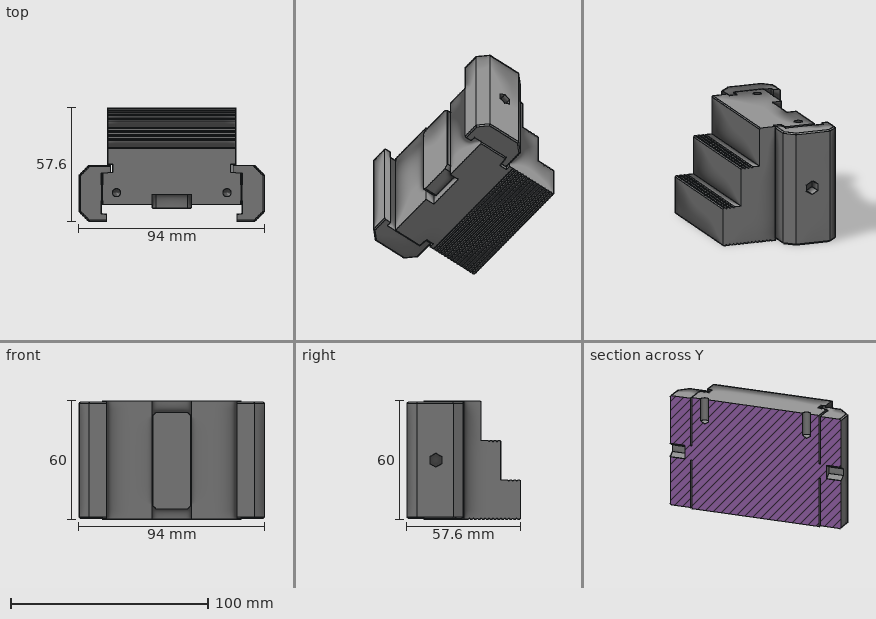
import cadquery as cq
import math

HEIGHT = 60.0
BODY_DEPTH = 49.0
BACK_WIDTH = 65.0
FRONT_WIDTH = 70.0
STEP_RUN = 10.0
STEP_RISE = 20.0

GROOVE_DEPTH = 0.57
GROOVE_PITCH = 2.0
STEP_GROOVES = 3
BASE_GROOVES = 13

CHANNEL_FLOOR_X = 30.0
CHANNEL_BACK_Y = 20.36
CHANNEL_FRONT_Y = 16.3
HOOK_SLOPE = math.tan(math.radians(5.0))

SLOT_WIDTH = 20.0
SLOT_DEPTH = 5.0
KEY_PROJECTION = 2.0
KEY_HEIGHT = 48.9
KEY_BASE_Z = 5.3
KEY_CORNER = 2.0
KEY_EDGE_CHAMFER = 0.5

JAW_SPAN = 94.0
JAW_BACK_Y = 19.86
JAW_FRONT_Y = -8.64
JAW_HEIGHT = 59.0
JAW_INNER_X = 35.65
JAW_CORNER = 5.0
JAW_END_CHAMFER = 0.7
REAR_HOOK_TIP_X = 31.0
FRONT_HOOK_TIP_X = 33.0
FRONT_HOOK_Y = -4.65

SCREW_Y = 6.0
SCREW_DIAMETER = 8.0
SCREW_EMBED = 1.0
HEX_FLATS = 6.1
HEX_DEPTH = 8.0
TAP_DIAMETER = 4.13
TAP_DEPTH = 12.0
TAP_X = 28.0
DRILL_POINT_ANGLE = 118.0


def mirrored_pair(part):
    """The part together with its mirror image across the YZ plane."""
    return part.union(part.mirror("YZ"))


def v_groove(y, z):
    """Square bar on edge along X; half of it cuts a V groove in a face at (y, z)."""
    diamond = [
        (y - GROOVE_DEPTH, z),
        (y, z + GROOVE_DEPTH),
        (y + GROOVE_DEPTH, z),
        (y, z - GROOVE_DEPTH),
    ]
    return cq.Workplane("YZ").polyline(diamond).close().extrude(BACK_WIDTH / 2, both=True)


def serrate(body, back_y, z, count):
    """Chamfer the back edge of a level face and cut a row of grooves in front of it."""
    for i in range(count + 1):
        body = body.cut(v_groove(back_y - i * GROOVE_PITCH, z))
    return body


def make_block():
    """Staircase toward +Y with a wider front and hook channels on both sides."""
    stairs = [
        (0, 0),
        (BODY_DEPTH, 0),
        (BODY_DEPTH, STEP_RISE),
        (BODY_DEPTH - STEP_RUN, STEP_RISE),
        (BODY_DEPTH - STEP_RUN, 2 * STEP_RISE),
        (BODY_DEPTH - 2 * STEP_RUN, 2 * STEP_RISE),
        (BODY_DEPTH - 2 * STEP_RUN, HEIGHT),
        (0, HEIGHT),
    ]
    block = cq.Workplane("YZ").polyline(stairs).close().extrude(FRONT_WIDTH / 2, both=True)
    shoulder_y = CHANNEL_FRONT_Y - (FRONT_WIDTH / 2 - CHANNEL_FLOOR_X) * HOOK_SLOPE
    side_relief = [
        (CHANNEL_FLOOR_X, CHANNEL_FRONT_Y),
        (FRONT_WIDTH / 2, shoulder_y),
        (FRONT_WIDTH / 2, BODY_DEPTH),
        (BACK_WIDTH / 2, BODY_DEPTH),
        (BACK_WIDTH / 2, CHANNEL_BACK_Y),
        (CHANNEL_FLOOR_X, CHANNEL_BACK_Y),
    ]
    relief = cq.Workplane("XY").polyline(side_relief).close().extrude(HEIGHT)
    return block.cut(mirrored_pair(relief))


def make_serrated_block():
    block = make_block()
    block = serrate(block, BODY_DEPTH, 0, BASE_GROOVES)
    block = serrate(block, BODY_DEPTH, STEP_RISE, STEP_GROOVES)
    block = serrate(block, BODY_DEPTH - STEP_RUN, 2 * STEP_RISE, STEP_GROOVES)
    return serrate(block, BODY_DEPTH - 2 * STEP_RUN, HEIGHT, 0)


def make_key_slot():
    return cq.Workplane("XY").box(SLOT_WIDTH, 2 * SLOT_DEPTH, HEIGHT, centered=(True, True, False))


def make_key():
    """Key seated in the slot, with clipped corners and chamfered long front edges."""
    depth = SLOT_DEPTH + KEY_PROJECTION
    key = cq.Workplane("XY").box(SLOT_WIDTH, depth, KEY_HEIGHT)
    key = key.edges("|Y").chamfer(KEY_CORNER)
    key = key.faces("<Y").edges("|Z").chamfer(KEY_EDGE_CHAMFER)
    return key.translate((0, SLOT_DEPTH - depth / 2, KEY_BASE_Z + KEY_HEIGHT / 2))


def make_tapped_hole():
    """Blind drilled hole in the top face with a conical bottom."""
    radius = TAP_DIAMETER / 2
    point_length = radius / math.tan(math.radians(DRILL_POINT_ANGLE / 2))
    profile = [
        (0, 0),
        (radius, 0),
        (radius, -TAP_DEPTH),
        (0, -TAP_DEPTH - point_length),
    ]
    drill = cq.Workplane("XZ").polyline(profile).close().revolve(360, (0, 0), (0, 1))
    return drill.translate((TAP_X, SCREW_Y, HEIGHT))


def make_jaw_blank(top_edges):
    """Jaw outline closed toward the middle of the part, with chamfered end edges.

    top_edges selects which edges of the top face are chamfered.
    """
    outer_x = JAW_SPAN / 2
    outline = [
        (0, JAW_BACK_Y),
        (outer_x - JAW_CORNER, JAW_BACK_Y),
        (outer_x, JAW_BACK_Y - JAW_CORNER),
        (outer_x, JAW_FRONT_Y + JAW_CORNER),
        (outer_x - JAW_CORNER, JAW_FRONT_Y),
        (0, JAW_FRONT_Y),
    ]
    blank = cq.Workplane("XY").polyline(outline).close().extrude(JAW_HEIGHT)
    blank = blank.faces("<Z").edges().chamfer(JAW_END_CHAMFER)
    blank = blank.faces(">Z").edges(top_edges).chamfer(JAW_END_CHAMFER)
    return blank.translate((0, 0, (HEIGHT - JAW_HEIGHT) / 2))


def make_jaw_opening():
    """Space between the two hooks; the rear hook bears on the sloped body shoulder."""
    rear_tip_y = CHANNEL_FRONT_Y - (REAR_HOOK_TIP_X - CHANNEL_FLOOR_X) * HOOK_SLOPE
    rear_root_y = CHANNEL_FRONT_Y - (JAW_INNER_X - CHANNEL_FLOOR_X) * HOOK_SLOPE
    front_tip_y = FRONT_HOOK_Y - (JAW_INNER_X - FRONT_HOOK_TIP_X) * HOOK_SLOPE
    opening = [
        (0, JAW_BACK_Y),
        (REAR_HOOK_TIP_X, JAW_BACK_Y),
        (REAR_HOOK_TIP_X, rear_tip_y),
        (JAW_INNER_X, rear_root_y),
        (JAW_INNER_X, FRONT_HOOK_Y),
        (FRONT_HOOK_TIP_X, front_tip_y),
        (FRONT_HOOK_TIP_X, JAW_FRONT_Y),
        (0, JAW_FRONT_Y),
    ]
    return cq.Workplane("XY").polyline(opening).close().extrude(HEIGHT)


def make_hex_socket():
    """Hex recess in the outer jaw face with two of its flats parallel to Z."""
    across_corners = HEX_FLATS / math.cos(math.pi / 6)
    socket = cq.Workplane("YZ").polygon(6, across_corners).extrude(HEX_DEPTH)
    socket = socket.rotate((0, 0, 0), (1, 0, 0), 90)
    return socket.translate((JAW_SPAN / 2 - HEX_DEPTH, SCREW_Y, HEIGHT / 2))


def make_jaw(top_edges=None):
    """C-shaped clamp jaw on the +X side."""
    return make_jaw_blank(top_edges).cut(make_jaw_opening()).cut(make_hex_socket())


def make_screw():
    """Screw shank bridging the gap between the body side and the jaw."""
    start_x = FRONT_WIDTH / 2 - SCREW_EMBED
    length = JAW_INNER_X - FRONT_WIDTH / 2 + 2 * SCREW_EMBED
    shank = cq.Workplane("YZ").circle(SCREW_DIAMETER / 2).extrude(length)
    return shank.translate((start_x, SCREW_Y, HEIGHT / 2))


result = make_serrated_block().cut(make_key_slot()).union(make_key())
result = result.cut(mirrored_pair(make_tapped_hole()))
result = result.union(make_jaw(top_edges="not >Y"))
result = result.union(make_jaw().mirror("YZ"))
result = result.union(mirrored_pair(make_screw()))